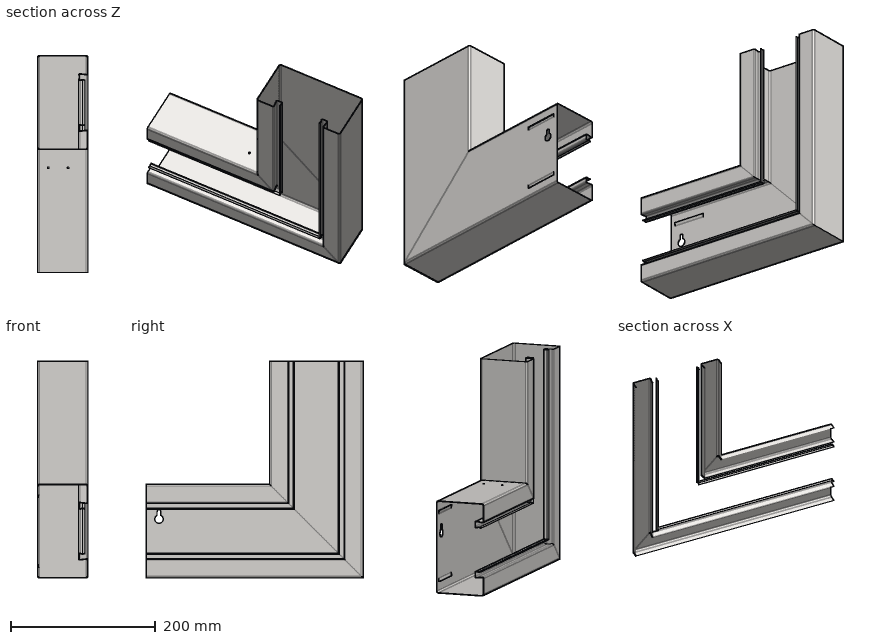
import cadquery as cq

arm_length = 299.8
duct_width = 70.0
duct_depth = 129.8

sheet = 1.0
half_sheet = sheet / 2
corner_radius = 2.5
lip_radius = 1.55
cut_length = 3 * sheet

web_outer_depth = 26.7
web_inner_depth = 25.2
leg_depth = 34.2
leg_dip = 1.0

channel_bottom_x = 57.3
leg_flat_end_x = 59.0
leg_valley_x = 62.5
leg_tip_x = 65.5

hole_diameter = 2.5
hole_places_x = (15.0, 42.3)
hole_y = 144.8

keyhole_y = 17.7
keyhole_z = 81.5
keyhole_radius = 5.7
keyhole_slot_width = 4.8
keyhole_top_z = 94.5

tab_start_y = 6.5
tab_length = 49.2
tab_edge_depth = 15.0
tab_hinge_depth = 19.8
tab_inset = 1.0

TOUCH = 0.003


def far_side(points):
    """Mirror (X, depth) points from the near half of the duct to the far half."""
    return [(x, duct_depth - depth) for x, depth in points]


def round_bends(wire, places, radius):
    """Round the wire corners found at the given (X, depth) places."""
    bends = [
        vertex
        for vertex in wire.Vertices()
        if any(abs(vertex.X - x) < TOUCH and abs(vertex.Z - z) < TOUCH for x, z in places)
    ]
    return wire.fillet2D(radius, bends)


def duct_section():
    """Closed outline of the bent sheet in the XZ plane: the centreline thickened both ways."""
    flange_x = duct_width - half_sheet
    return_leg = [
        (leg_tip_x, leg_depth),
        (leg_valley_x, leg_depth - leg_dip),
        (leg_flat_end_x, leg_depth),
    ]
    lip_bends = [
        (channel_bottom_x, leg_depth),
        (channel_bottom_x, web_inner_depth),
        (flange_x, web_outer_depth),
    ]
    main_bends = [(flange_x, half_sheet), (half_sheet, half_sheet)]

    near_half = return_leg + lip_bends + main_bends
    points = near_half + far_side(near_half)[::-1]
    centreline = cq.Workplane("XZ").polyline(points).wire().val()
    centreline = round_bends(centreline, lip_bends + far_side(lip_bends), lip_radius)
    centreline = round_bends(centreline, main_bends + far_side(main_bends), corner_radius)
    return centreline.offset2D(half_sheet)[0]


def elbow():
    """The section run along both arms, mitred where they meet."""
    path = cq.Workplane("YZ").polyline([(0, 0), (arm_length, 0), (arm_length, arm_length)])
    section = cq.Workplane("XZ").add(duct_section()).toPending()
    return section.sweep(path, transition="right", clean=False)


def side_holes():
    """Pins that cut the two small holes in the side wall facing the inner corner."""
    return (
        cq.Workplane("XY", origin=(0, 0, duct_depth - 2 * sheet))
        .pushPoints([(x, hole_y) for x in hole_places_x])
        .circle(hole_diameter / 2)
        .extrude(cut_length)
    )


def keyhole():
    """Cutter for a round opening with a narrower, round-ended slot above it."""
    slot_end_z = keyhole_top_z - keyhole_slot_width / 2
    plane = cq.Workplane("YZ", origin=(-sheet, 0, 0))
    opening = plane.center(keyhole_y, keyhole_z).circle(keyhole_radius).extrude(cut_length)
    slot = (
        plane.center(keyhole_y, (keyhole_z + slot_end_z) / 2)
        .rect(keyhole_slot_width, slot_end_z - keyhole_z)
        .extrude(cut_length)
    )
    slot_end = plane.center(keyhole_y, slot_end_z).circle(keyhole_slot_width / 2).extrude(cut_length)
    return opening.union(slot).union(slot_end)


def tab_block(outline):
    """Extrude an (X, depth) outline along the length of a tab."""
    return cq.Workplane("XZ", origin=(0, tab_start_y, 0)).polyline(outline).close().extrude(-tab_length)


def lance_tab(body, on_far_side):
    """Cut a window in the back wall and fill it with a sheet sloping inward to its free edge."""
    window = [
        (-sheet, tab_edge_depth),
        (-sheet, tab_hinge_depth),
        (2 * sheet, tab_hinge_depth),
        (2 * sheet, tab_edge_depth),
    ]
    tab = [
        (0, tab_hinge_depth),
        (tab_inset, tab_edge_depth),
        (tab_inset + sheet, tab_edge_depth),
        (sheet, tab_hinge_depth),
    ]
    if on_far_side:
        window = far_side(window)
        tab = far_side(tab)
    return body.cut(tab_block(window), clean=False).union(tab_block(tab), clean=False)


result = elbow()
result = result.cut(side_holes(), clean=False)
result = result.cut(keyhole(), clean=False)
for on_far_side in (False, True):
    result = lance_tab(result, on_far_side)